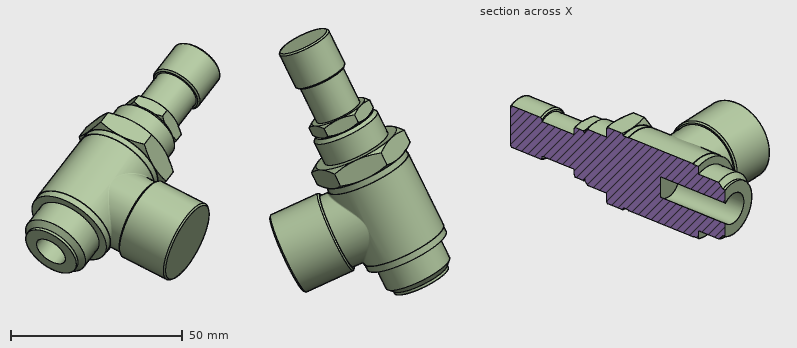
import cadquery as cq
import math

TOTAL_LENGTH = 80.3

NOSE_RADIUS = 10.4
NOSE_TIP_RADIUS = 8.75
NOSE_TIP_END = 0.9
NOSE_TAPER_END = 2.5
NOSE_END = 10.0
BORE_RADIUS = 5.0
BORE_DEPTH = 24.1

BODY_RADIUS = 13.0
COLLAR_RADIUS = 12.85
BODY_START = 12.05
BODY_END = 36.15

HEX_START = 38.1
HEX_END = 44.4
HEX_ACROSS_FLATS = 2 * BODY_RADIUS
BONNET_RADIUS = 10.3
BONNET_END = 52.55
BONNET_CHAMFER = 1.05
LOCKNUT_END = 56.6
LOCKNUT_ACROSS_FLATS = 17.0
HEX_CHAMFER_ANGLE = 30.0

STEM_RADIUS = 7.0
KNOB_RADIUS = 8.0
KNOB_START = 68.45
KNOB_CHAMFER = 0.5

BRANCH_Y = 24.0
NECK_RADIUS = 11.5
NECK_FILLET = 0.4
SOCKET_RADIUS = 12.45
SOCKET_START = 15.9
SOCKET_END = 32.0
SOCKET_CHAMFER = 0.5


def cylinder_y(radius, start, end):
    """Cylinder on the valve axis between two Y positions."""
    return cq.Workplane("XZ", origin=(0, start, 0)).circle(radius).extrude(start - end)


def cylinder_x(radius, start, end):
    """Cylinder on the branch axis between two X positions."""
    return cq.Workplane("YZ", origin=(start, BRANCH_Y, 0)).circle(radius).extrude(end - start)


def chamfered_hexagon(across_flats, start, end):
    """Hexagon with corners along X, turned down conically at both ends."""
    flat_radius = across_flats / 2
    corner_radius = flat_radius / math.cos(math.pi / 6)
    drop = (corner_radius - flat_radius) * math.tan(math.radians(HEX_CHAMFER_ANGLE))
    prism = (
        cq.Workplane("XZ", origin=(0, start, 0))
        .polygon(6, 2 * corner_radius)
        .extrude(start - end)
    )
    envelope = (
        cq.Workplane("XY")
        .moveTo(0, start)
        .lineTo(flat_radius, start)
        .lineTo(corner_radius, start + drop)
        .lineTo(corner_radius, end - drop)
        .lineTo(flat_radius, end)
        .lineTo(0, end)
        .close()
        .revolve(360, (0, 0, 0), (0, 1, 0))
    )
    return prism.intersect(envelope)


body = cylinder_y(BODY_RADIUS, BODY_START, BODY_END)
body = body.union(cylinder_x(NECK_RADIUS, 0, SOCKET_START))
neck_joint = cq.selectors.BoxSelector(
    (0, BODY_START + 0.1, -BODY_RADIUS),
    (BODY_RADIUS + 0.1, BODY_END - 0.1, BODY_RADIUS),
    boundingbox=True,
)
body = body.edges(neck_joint).edges("not %LINE").fillet(NECK_FILLET)

socket = cylinder_x(SOCKET_RADIUS, SOCKET_START, SOCKET_END)
socket = socket.faces("<X or >X").edges().chamfer(SOCKET_CHAMFER)

nose = (
    cq.Workplane("XY")
    .lineTo(NOSE_TIP_RADIUS, 0)
    .lineTo(NOSE_TIP_RADIUS, NOSE_TIP_END)
    .lineTo(NOSE_RADIUS, NOSE_TAPER_END)
    .lineTo(NOSE_RADIUS, NOSE_END)
    .lineTo(0, NOSE_END)
    .close()
    .revolve(360, (0, 0, 0), (0, 1, 0))
)
collars = cylinder_y(COLLAR_RADIUS, NOSE_END, HEX_START)

large_hexagon = chamfered_hexagon(HEX_ACROSS_FLATS, HEX_START, HEX_END)
bonnet = cylinder_y(BONNET_RADIUS, HEX_END, BONNET_END).faces(">Y").chamfer(BONNET_CHAMFER)
locknut = chamfered_hexagon(LOCKNUT_ACROSS_FLATS, BONNET_END, LOCKNUT_END)
stem = cylinder_y(STEM_RADIUS, LOCKNUT_END, KNOB_START)
knob = cylinder_y(KNOB_RADIUS, KNOB_START, TOTAL_LENGTH)
knob = knob.faces("<Y or >Y").edges().chamfer(KNOB_CHAMFER)

result = body
for section in (socket, nose, collars, large_hexagon, bonnet, locknut, stem, knob):
    result = result.union(section)
result = result.cut(cylinder_y(BORE_RADIUS, 0, BORE_DEPTH))